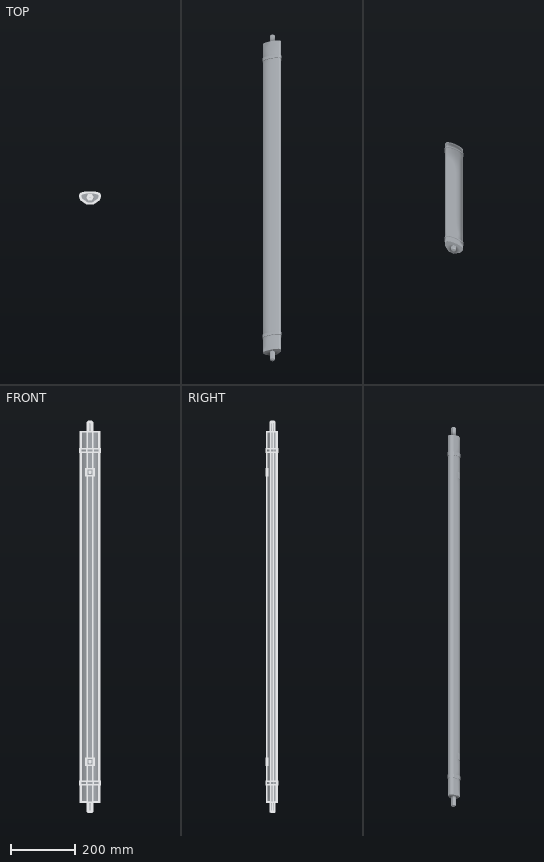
import cadquery as cq
import math

TOTAL_LENGTH = 1219.0
TOTAL_WIDTH = 63.0
BODY_LENGTH = 1156.0
COLLAR_STATION = 518.0
COLLAR_HEIGHT = 11.0
COLLAR_RISE = 1.8
BRACKET_STATION = 451.0
BRACKET_HEIGHT = 22.0

FRONT_HALF_WIDTH = 9.1
FRONT_Y = -18.0
SLOPE_ANGLE = 35.0
SIDE_ANGLE = 20.0
LOWER_CORNER_X = 27.0
SIDE_HALF_WIDTH = TOTAL_WIDTH / 2 - COLLAR_RISE
BACK_CORNER_X = 25.0
BACK_CORNER_Y = 11.0
CORNER_BULGE = 1.0
BACK_Y = 15.0

BRACKET_WIDTH = 25.0
BRACKET_THICKNESS = 1.0
HOLE_DIAMETER = 6.0
HOLE_DEPTH = 4.0

SHAFT_ACROSS_FLATS = 15.0
SHAFT_TIP_DIAMETER = 9.0
SHAFT_TIP_ANGLE = 45.0


def mirrored(point):
    return (-point[0], point[1])


def body_section():
    """Closed outline: flat front, sloped flanks, rounded shoulders and a shallow arched back."""
    slope_rise = (LOWER_CORNER_X - FRONT_HALF_WIDTH) * math.tan(math.radians(SLOPE_ANGLE))
    side_rise = (SIDE_HALF_WIDTH - LOWER_CORNER_X) / math.tan(math.radians(SIDE_ANGLE))
    front = (FRONT_HALF_WIDTH, FRONT_Y)
    lower = (LOWER_CORNER_X, FRONT_Y + slope_rise)
    side = (SIDE_HALF_WIDTH, FRONT_Y + slope_rise + side_rise)
    shoulder = (BACK_CORNER_X, BACK_CORNER_Y)
    shoulder_mid = (
        (side[0] + shoulder[0]) / 2 + CORNER_BULGE,
        (side[1] + shoulder[1]) / 2 + CORNER_BULGE,
    )
    return (
        cq.Workplane("XY")
        .moveTo(*mirrored(front))
        .lineTo(*front)
        .lineTo(*lower)
        .lineTo(*side)
        .threePointArc(shoulder_mid, shoulder)
        .threePointArc((0, BACK_Y), mirrored(shoulder))
        .threePointArc(mirrored(shoulder_mid), mirrored(side))
        .lineTo(*mirrored(lower))
        .close()
    )


def slab(rise, height, station):
    """Length of the body section, grown outward by rise and centred at the station along Z."""
    section = body_section()
    if rise:
        section = section.offset2D(rise, "intersection")
    return section.extrude(height).translate((0, 0, station - height / 2))


def bracket(station):
    """Thin strap that follows the front of the body."""
    window = cq.Workplane("XY").box(BRACKET_WIDTH, 2 * abs(FRONT_Y), BRACKET_HEIGHT)
    window = window.translate((0, FRONT_Y, station))
    return slab(BRACKET_THICKNESS, BRACKET_HEIGHT, station).intersect(window)


def bracket_hole(station):
    """Blind hole entering from the front of a bracket."""
    depth = BRACKET_THICKNESS + HOLE_DEPTH
    return (
        cq.Workplane("XZ", origin=(0, FRONT_Y - BRACKET_THICKNESS, station))
        .circle(HOLE_DIAMETER / 2)
        .extrude(-depth)
    )


def shaft():
    """Hexagonal bar with corners toward +X and -X, its ends turned to a cone like a bolt tip."""
    corner_radius = SHAFT_ACROSS_FLATS / 2 / math.cos(math.radians(30))
    tip_radius = SHAFT_TIP_DIAMETER / 2
    half_length = TOTAL_LENGTH / 2
    cone_base = half_length - (corner_radius - tip_radius) * math.tan(math.radians(SHAFT_TIP_ANGLE))
    bar = cq.Workplane("XY").polygon(6, 2 * corner_radius).extrude(half_length, both=True)
    turned_blank = (
        cq.Workplane("XZ")
        .moveTo(0, -half_length)
        .lineTo(tip_radius, -half_length)
        .lineTo(corner_radius, -cone_base)
        .lineTo(corner_radius, cone_base)
        .lineTo(tip_radius, half_length)
        .lineTo(0, half_length)
        .close()
        .revolve(360, (0, 0, 0), (0, 1, 0))
    )
    return bar.intersect(turned_blank)


result = slab(0, BODY_LENGTH, 0).union(shaft())
for end in (-1, 1):
    result = result.union(slab(COLLAR_RISE, COLLAR_HEIGHT, end * COLLAR_STATION))
    result = result.union(bracket(end * BRACKET_STATION))
    result = result.cut(bracket_hole(end * BRACKET_STATION))